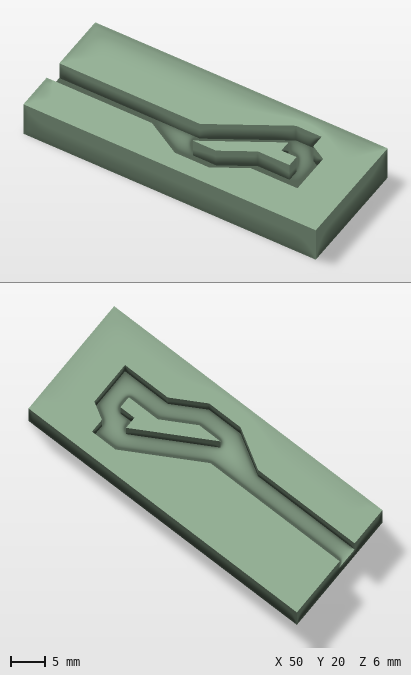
import cadquery as cq
import math

length = 50.0
width = 20.0
height = 6.0

channel_width = 3.5
channel_depth = 3.0
branch_angle = math.radians(30)

inlet_top = width / 2
inlet_bottom = inlet_top - channel_width
lower_bottom = inlet_bottom - channel_width
outlet_bottom = 6.05
upper_top = inlet_top + 2 * channel_width

split_x = 24.05
lower_bend_x = 29.9
step_x = 40.55
end_x = 43.15
step_y = 14.7

notch_y = 11.5


def run(rise):
    """Distance along X in which a slanted wall climbs by the given rise."""
    return rise / math.tan(branch_angle)


miter = channel_width * math.tan(branch_angle / 2)

outlet_bend_x = lower_bend_x + run(outlet_bottom - lower_bottom)
channel_outline = [
    (0, inlet_bottom),
    (split_x - run(inlet_bottom - lower_bottom), inlet_bottom),
    (split_x, lower_bottom),
    (lower_bend_x, lower_bottom),
    (outlet_bend_x, outlet_bottom),
    (end_x, outlet_bottom),
    (end_x, step_y - (end_x - step_x) * math.tan(branch_angle)),
    (step_x, step_y),
    (step_x, upper_top),
    (split_x + run(upper_top - inlet_top), upper_top),
    (split_x, inlet_top),
    (0, inlet_top),
]

island_left = split_x + miter
island_bottom = lower_bottom + channel_width
island_step_y = outlet_bottom + channel_width
tip_x = step_x - channel_width
tip_y = island_bottom + (tip_x - island_left) * math.tan(branch_angle)
island_right = end_x - channel_width
island_outline = [
    (island_left, island_bottom),
    (lower_bend_x - miter, island_bottom),
    (outlet_bend_x - miter, island_step_y),
    (island_right, island_step_y),
    (island_right, notch_y),
    (tip_x, notch_y),
    (tip_x, tip_y),
]


def prism(outline):
    """Outline extruded from the channel floor up to the top face."""
    floor = cq.Workplane("XY").workplane(offset=height - channel_depth)
    return floor.polyline(outline).close().extrude(channel_depth)


block = cq.Workplane("XY").box(length, width, height, centered=False)
channel = prism(channel_outline).cut(prism(island_outline))
result = block.cut(channel)